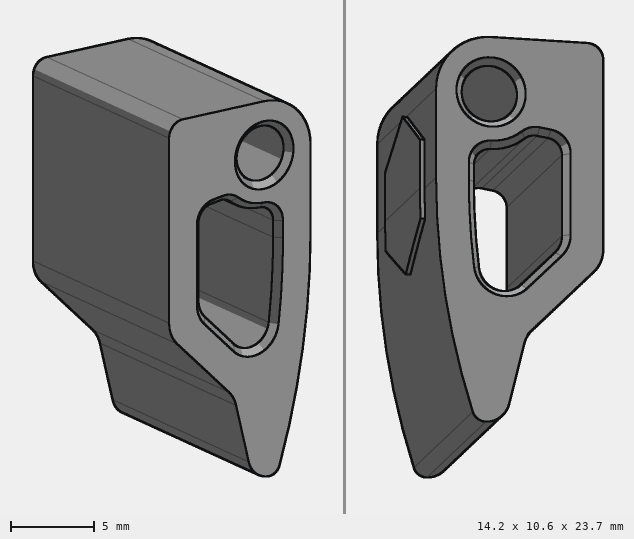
import cadquery as cq
import math

width = 14.2
height = 23.67
depth = 10.3
back_radius = 46.15
back_bend_z = 14.82
slope_start_z = 10.2
neck_y = 4.73
tip_front_y = 6.08

top_front_radius = 1.0
underside_radius = 2.01
tip_front_radius = 1.56
tip_back_radius = 0.8

pivot_radius = 3.38
pivot_y = depth - pivot_radius
pivot_z = height - pivot_radius
hole_diameter = 3.4
chamfer = 0.43

wall = 2.01 + chamfer
pivot_clearance = 3.4
cusp_angle = math.radians(43.5)
window_top_z = 17.65
window_top_radius = 1.0
window_bottom_radius = 1.5

pad_thickness = 0.28
pad_across_flats = 8.38
pad_x = width / 2 - 0.15
pad_z = 15.39

back_center_y = depth - back_radius


def back_y(z, inset=0.0):
    """Y of the bowed back at height z, moved inward by inset."""
    return back_center_y + math.sqrt((back_radius - inset) ** 2 - (z - back_bend_z) ** 2)


def round_edge(solid, y, z, radius):
    """Round the edge along X that passes through (y, z)."""
    nearest = cq.selectors.NearestToPointSelector((width / 2, y, z))
    return solid.edges("|X").edges(nearest).fillet(radius)


def make_body():
    bow_mid_z = back_bend_z / 2
    body = (
        cq.Workplane("YZ")
        .moveTo(0, height)
        .lineTo(depth, height)
        .lineTo(depth, back_bend_z)
        .threePointArc((back_y(bow_mid_z), bow_mid_z), (back_y(0), 0))
        .lineTo(tip_front_y, 0)
        .lineTo(neck_y, slope_start_z - neck_y)
        .lineTo(0, slope_start_z)
        .close()
        .extrude(width)
    )
    body = round_edge(body, depth, height, pivot_radius)
    body = round_edge(body, 0, height, top_front_radius)
    body = round_edge(body, 0, slope_start_z, underside_radius)
    body = round_edge(body, neck_y, slope_start_z - neck_y, underside_radius)
    body = round_edge(body, tip_front_y, 0, tip_front_radius)
    return round_edge(body, back_y(0), 0, tip_back_radius)


def make_pad():
    """Regular hexagon, one point up, whose face runs parallel to the back."""
    bow_mid_z = back_bend_z / 2
    layer = (
        cq.Workplane("YZ")
        .moveTo(pivot_y, height)
        .lineTo(depth + pad_thickness, height)
        .lineTo(depth + pad_thickness, back_bend_z)
        .threePointArc((back_y(bow_mid_z, -pad_thickness), bow_mid_z), (back_y(0, -pad_thickness), 0))
        .lineTo(pivot_y, 0)
        .close()
        .extrude(width)
    )
    hexagon = (
        cq.Workplane("XZ", origin=(pad_x, depth - wall / 2, pad_z))
        .transformed(rotate=(0, 0, 90))
        .polygon(6, pad_across_flats / math.cos(math.pi / 6))
        .extrude(-depth)
    )
    return layer.intersect(hexagon)


def make_window():
    back_side_y = depth - wall
    start_z = pivot_z - math.sqrt(pivot_clearance**2 - (back_side_y - pivot_y) ** 2)
    start_angle = math.atan2(pivot_z - start_z, pivot_y - back_side_y)
    mid_angle = (start_angle + cusp_angle) / 2

    def around_pivot(angle):
        return (
            pivot_y - pivot_clearance * math.cos(angle),
            pivot_z - pivot_clearance * math.sin(angle),
        )

    side_sum = slope_start_z + wall * math.sqrt(2)
    center_sum = side_sum - back_center_y - back_bend_z
    bow_radius = back_radius - wall
    bottom_y = back_center_y + (center_sum + math.sqrt(2 * bow_radius**2 - center_sum**2)) / 2
    bottom_z = side_sum - bottom_y
    bow_mid_z = (back_bend_z + bottom_z) / 2

    window = (
        cq.Workplane("YZ")
        .moveTo(back_side_y, start_z)
        .threePointArc(around_pivot(mid_angle), around_pivot(cusp_angle))
        .lineTo(wall, window_top_z)
        .lineTo(wall, side_sum - wall)
        .lineTo(bottom_y, bottom_z)
        .threePointArc((back_y(bow_mid_z, wall), bow_mid_z), (back_side_y, back_bend_z))
        .close()
        .extrude(width)
    )
    window = round_edge(window, back_side_y, start_z, window_top_radius)
    window = round_edge(window, *around_pivot(cusp_angle), window_top_radius)
    window = round_edge(window, wall, window_top_z, window_top_radius)
    window = round_edge(window, wall, side_sum - wall, window_bottom_radius)
    return round_edge(window, bottom_y, bottom_z, window_bottom_radius)


def make_pivot_hole():
    return (
        cq.Workplane("YZ", origin=(0, pivot_y, pivot_z))
        .circle(hole_diameter / 2)
        .extrude(width)
    )


def chamfer_openings(body):
    """Chamfer the rims of all through openings on both side faces."""
    rims = []
    for side in ("<X", ">X"):
        for wire in body.faces(side).val().innerWires():
            rims.extend(wire.Edges())
    return body.newObject(rims).chamfer(chamfer)


result = make_body().cut(make_window()).cut(make_pivot_hole())
result = chamfer_openings(result)
result = result.union(make_pad())